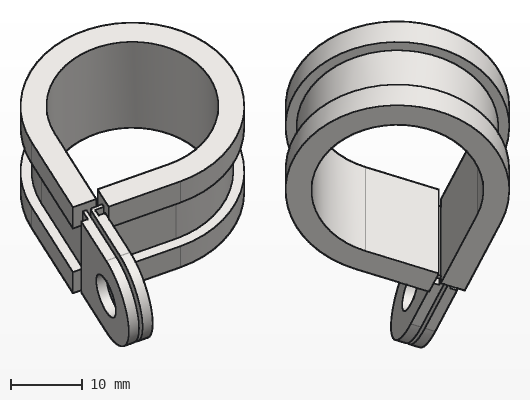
import cadquery as cq

height = 18.0
outer_radius = 15.6
inner_radius = 12.0
side_leg_end_y = -11.05
bottom_leg_end_x = 13.55

groove_width = 9.1
groove_radius = 14.08
strap_thickness = 0.55
strap_inner = groove_radius - strap_thickness

tab_width = 14.85
tab_radius = tab_width / 2
tab_thickness = 1.57
tab_start_x = 15.2
tab_center_x = 46.3 - outer_radius - tab_radius
hole_diameter = 6.4
tab_gap = 0.55
bend_chamfer = 0.3
lower_tab_top_y = -strap_inner
upper_tab_bottom_y = lower_tab_top_y + tab_gap


def loop_band(outer, inner, width):
    """Band around the ring and along both legs, centred on Z = 0."""
    return (
        cq.Workplane("XY")
        .moveTo(bottom_leg_end_x, -outer)
        .lineTo(0, -outer)
        .threePointArc((-outer * 0.5**0.5, outer * 0.5**0.5), (outer, 0))
        .lineTo(outer, side_leg_end_y)
        .lineTo(inner, side_leg_end_y)
        .lineTo(inner, 0)
        .threePointArc((-inner * 0.5**0.5, inner * 0.5**0.5), (0, -inner))
        .lineTo(bottom_leg_end_x, -inner)
        .close()
        .extrude(width / 2, both=True)
    )


def block(x_min, x_max, y_min, y_max):
    """Box as wide as the tabs, centred on Z = 0."""
    return cq.Workplane("XY").box(x_max - x_min, y_max - y_min, tab_width).translate(
        ((x_min + x_max) / 2, (y_min + y_max) / 2, 0)
    )


def screw_tab(bottom_y):
    """Round-ended plate with a screw hole, resting on bottom_y."""
    plate = block(tab_start_x, tab_center_x, bottom_y, bottom_y + tab_thickness)
    face = cq.Workplane("XZ", origin=(tab_center_x, bottom_y, 0))
    plate = plate.union(face.circle(tab_radius).extrude(-tab_thickness))
    return plate.cut(face.circle(hole_diameter / 2).extrude(-tab_thickness))


cushion = loop_band(outer_radius, inner_radius, height)
cushion = cushion.cut(loop_band(outer_radius, groove_radius, groove_width))

lower_strap = block(bottom_leg_end_x, tab_start_x, -groove_radius, lower_tab_top_y)

upper_strap = block(strap_inner, groove_radius, upper_tab_bottom_y, side_leg_end_y)
upper_strap = upper_strap.union(
    block(strap_inner, tab_start_x, upper_tab_bottom_y, upper_tab_bottom_y + strap_thickness)
)
upper_strap = upper_strap.edges("|Z and <X and <Y").chamfer(bend_chamfer)

result = (
    cushion.union(lower_strap)
    .union(upper_strap)
    .union(screw_tab(lower_tab_top_y - tab_thickness))
    .union(screw_tab(upper_tab_bottom_y))
)